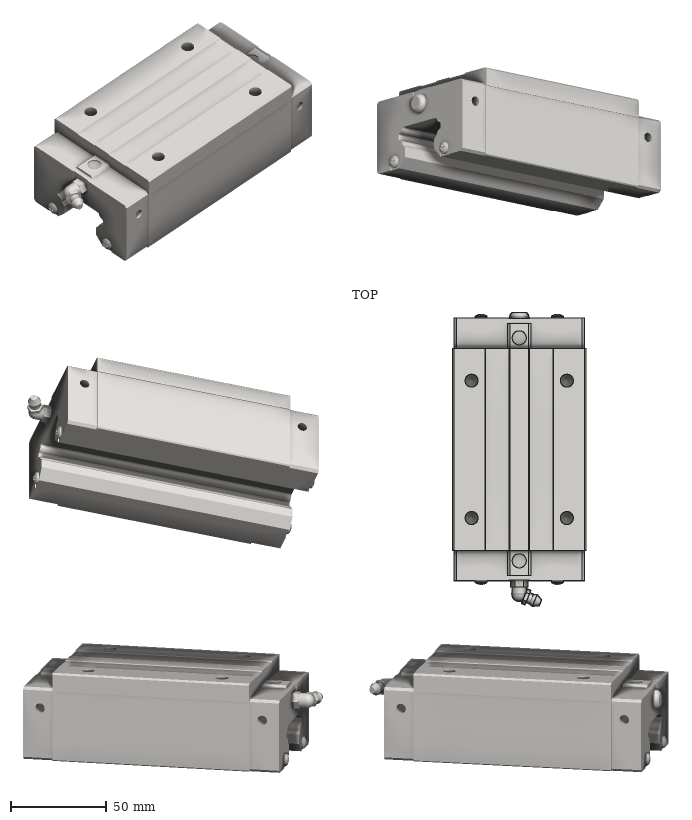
import cadquery as cq
import math

overall_length = 154.3

block_length = 106.0
block_width = 70.0
block_height = 47.5
body_width = 69.3
slab_height = 9.9
block_chamfer = 1.0
foot_chamfer = 0.6

groove_inner = 5.0
groove_outer = 17.9
groove_depth = 0.5
groove_slope = 0.3

hole_spacing_x = 50.0
hole_spacing_y = 72.0
hole_diameter = 6.8
hole_depth = 15.5
drill_angle = 118

cap_end = 69.0
cap_width = 68.5
cap_height = 39.0
cap_chamfer = 1.4
cap_length = cap_end - block_length / 2
seal_thickness = 3.0

pad_width = 12.5
pad_height = 1.4
port_diameter = 7.4
port_depth = 0.8
port_y = 58.5

side_hole_diameter = 5.1
side_hole_depth = 6.2
side_hole_y = 59.9
side_hole_z = 28.1

recess_depth = 0.5
fitting_z = 31.6
fitting_recess_width = 10.8

screw_spacing = 40.0
screw_z = 4.0
screw_diameter = 6.3
screw_protrusion = 1.9
screw_rim = 0.8
cross_length = 3.4
cross_width = 0.8
cross_depth = 0.8

hex_corner_diameter = 9.3
hex_end = 72.2
elbow_diameter = 7.9
elbow_y = 75.9
nozzle_angle = 22.4
collar_start = 3.0
collar_end = 5.0
collar_corner_diameter = 8.3
neck_position = 7.0
neck_radius = 2.8
barb_position = 8.8
barb_radius = 3.4
tip_position = 12.0
tip_radius = 1.7
nozzle_tilt = math.radians(nozzle_angle)
nipple_reach = elbow_y + barb_position * math.sin(nozzle_tilt) + barb_radius * math.cos(nozzle_tilt)

plug_diameter = 10.2
plug_tip_diameter = 6.8
plug_end = overall_length - nipple_reach
plug_rim_end = 69.5


def mirror_offsets(distance):
    """Equal positions on both sides of zero."""
    return (-distance, distance)


def make_block():
    slab_underside = block_height - slab_height
    body = (
        cq.Workplane("XY")
        .box(body_width, block_length, slab_underside, centered=(True, True, False))
        .edges("|Y and <Z")
        .chamfer(foot_chamfer)
    )
    slab = (
        cq.Workplane("XY")
        .workplane(offset=slab_underside)
        .box(block_width, block_length, slab_height, centered=(True, True, False))
        .edges("|Y and >Z")
        .chamfer(block_chamfer)
    )
    return body.union(slab)


def make_groove():
    floor_z = block_height - groove_depth
    return (
        cq.Workplane("XZ")
        .moveTo(groove_inner, block_height)
        .lineTo(groove_inner + groove_slope, floor_z)
        .lineTo(groove_outer - groove_slope, floor_z)
        .lineTo(groove_outer, block_height)
        .close()
        .extrude(block_length / 2, both=True)
    )


def make_mounting_holes():
    radius = hole_diameter / 2
    point_length = radius / math.tan(math.radians(drill_angle / 2))
    floor_z = block_height - hole_depth
    drill = (
        cq.Workplane("XZ")
        .moveTo(0, block_height)
        .lineTo(radius, block_height)
        .lineTo(radius, floor_z)
        .lineTo(0, floor_z - point_length)
        .close()
        .revolve(360, (0, 0, 0), (0, 1, 0))
    )
    holes = cq.Workplane("XY")
    for x in mirror_offsets(hole_spacing_x / 2):
        for y in mirror_offsets(hole_spacing_y / 2):
            holes = holes.add(drill.translate((x, y, 0)))
    return holes.combine()


def make_channel():
    """Rail channel along the whole carriage, with two rounded raceway ridges on each side."""
    half = (
        cq.Workplane("XZ")
        .moveTo(0, 21.6)
        .lineTo(13.3, 21.6)
        .lineTo(13.7, 21.1)
        .threePointArc((14.7, 19.5), (16.5, 18.5))
        .lineTo(17, 18.0)
        .lineTo(17, 15.5)
        .lineTo(16.5, 15.1)
        .threePointArc((14.5, 14.0), (13.7, 11.9))
        .lineTo(13.1, 11.7)
        .lineTo(11.7, 10.2)
        .lineTo(11.7, 5.1)
        .lineTo(16.7, 0)
        .lineTo(0, 0)
        .close()
        .extrude(cap_end, both=True)
    )
    return half.union(half.mirror("YZ"))


def make_front_cap():
    """Bare end cap with its pad and its recesses, on the -Y end."""
    cap = (
        cq.Workplane("XY")
        .box(cap_width, cap_length, cap_height, centered=(True, False, False))
        .edges("|Y")
        .chamfer(cap_chamfer)
        .translate((0, -cap_end, 0))
    )
    pad_top = cap_height + pad_height
    pad = (
        cq.Workplane("XZ", origin=(0, -block_length / 2, 0))
        .moveTo(-pad_width / 2, cap_height)
        .lineTo(-pad_width / 2 + pad_height, pad_top)
        .lineTo(pad_width / 2 - pad_height, pad_top)
        .lineTo(pad_width / 2, cap_height)
        .close()
        .extrude(cap_length - seal_thickness)
    )
    port = (
        cq.Workplane("XY", origin=(0, -port_y, pad_top - port_depth))
        .circle(port_diameter / 2)
        .extrude(port_depth)
    )
    cap = cap.union(pad).cut(port)

    for side in (-1, 1):
        side_hole = (
            cq.Workplane("YZ", origin=(side * cap_width / 2, -side_hole_y, side_hole_z))
            .circle(side_hole_diameter / 2)
            .extrude(-side * side_hole_depth)
        )
        screw_recess = make_recess(side * screw_spacing / 2, screw_z, screw_diameter, 0)
        cap = cap.cut(side_hole).cut(screw_recess)
    return cap.cut(make_recess(0, fitting_z, fitting_recess_width, cap_height))


def make_recess(x, z, width, open_z):
    """Round-ended recess in the -Y cap face that runs out at height open_z."""
    round_end = cq.Workplane("XZ", origin=(x, -cap_end, z)).circle(width / 2).extrude(-recess_depth)
    straight = (
        cq.Workplane("XZ", origin=(x, -cap_end, (z + open_z) / 2))
        .rect(width, abs(open_z - z))
        .extrude(-recess_depth)
    )
    return round_end.union(straight)


def make_screw_head():
    """Domed cross-recessed head on the -Y cap face, centred on X = Z = 0."""
    seat_y = -cap_end + recess_depth
    rim_y = -cap_end - screw_rim
    tip_y = -cap_end - screw_protrusion
    radius = screw_diameter / 2
    dome_height = screw_protrusion - screw_rim
    dome_radius = (radius**2 + dome_height**2) / (2 * dome_height)
    head = (
        cq.Workplane("XY")
        .moveTo(0, seat_y)
        .lineTo(radius, seat_y)
        .lineTo(radius, rim_y)
        .radiusArc((0, tip_y), dome_radius)
        .close()
        .revolve(360, (0, 0, 0), (0, 1, 0))
    )
    cross_plane = cq.Workplane("XZ", origin=(0, tip_y, 0))
    bar = cross_plane.rect(cross_length, cross_width).extrude(-cross_depth)
    post = cross_plane.rect(cross_width, cross_length).extrude(-cross_depth)
    return head.cut(bar).cut(post)


def make_plug():
    radius = plug_diameter / 2
    seat_y = cap_end - recess_depth
    return (
        cq.Workplane("XY")
        .moveTo(0, seat_y)
        .lineTo(radius, seat_y)
        .lineTo(radius, plug_rim_end)
        .tangentArcPoint((plug_tip_diameter / 2, plug_end), relative=False)
        .lineTo(0, plug_end)
        .close()
        .revolve(360, (0, 0, 0), (0, 1, 0))
        .translate((0, 0, fitting_z))
    )


def make_grease_nipple():
    seat_y = -cap_end + recess_depth
    hexagon = (
        cq.Workplane("XZ", origin=(0, seat_y, 0))
        .polygon(6, hex_corner_diameter)
        .extrude(hex_end + seat_y)
    )
    neck = (
        cq.Workplane("XZ", origin=(0, -hex_end, 0))
        .circle(elbow_diameter / 2)
        .extrude(elbow_y - hex_end)
    )
    ball = cq.Workplane("XY").sphere(elbow_diameter / 2).translate((0, -elbow_y, 0))

    nozzle = (
        cq.Workplane("XY")
        .lineTo(0, neck_radius)
        .lineTo(neck_position, neck_radius)
        .lineTo(barb_position, barb_radius)
        .lineTo(tip_position, tip_radius)
        .lineTo(tip_position, 0)
        .close()
        .revolve(360, (0, 0, 0), (1, 0, 0))
    )
    collar = (
        cq.Workplane("YZ", origin=(collar_start, 0, 0))
        .polygon(6, collar_corner_diameter)
        .extrude(collar_end - collar_start)
    )
    nozzle = (
        nozzle.union(collar)
        .rotate((0, 0, 0), (0, 0, 1), -nozzle_angle)
        .translate((0, -elbow_y, 0))
    )
    return hexagon.union(neck).union(ball).union(nozzle).translate((0, 0, fitting_z))


groove = make_groove()
block = make_block().cut(groove).cut(groove.mirror("YZ")).cut(make_mounting_holes())

front_cap = make_front_cap()
carriage = block.union(front_cap).union(front_cap.mirror("XZ")).cut(make_channel())

screw_head = make_screw_head()
for screw_x in mirror_offsets(screw_spacing / 2):
    front_screw = screw_head.translate((screw_x, 0, screw_z))
    carriage = carriage.union(front_screw).union(front_screw.mirror("XZ"))

result = carriage.union(make_plug()).union(make_grease_nipple())